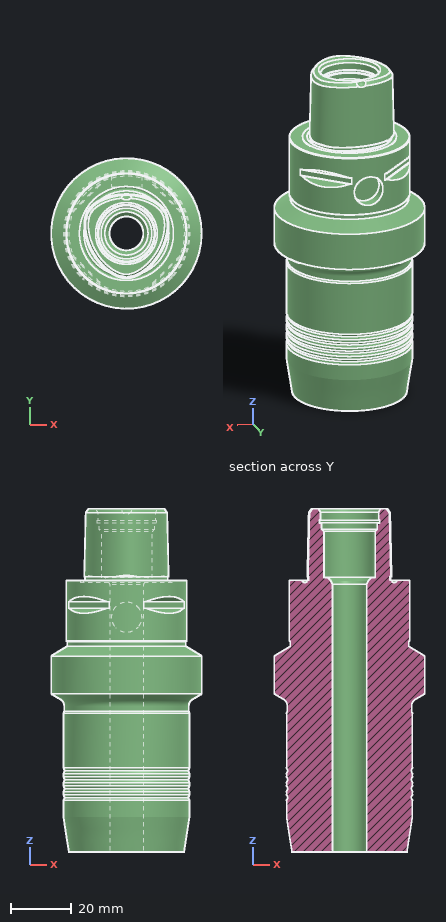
import cadquery as cq
import math

TOTAL_HEIGHT = 114.0
NOSE_TOP_Z = 11.7
BODY_TOP_Z = 46.0
BODY_CHAMFER_TOP_Z = 46.7
UNDERCUT_TOP_Z = 48.6
FLANGE_BOTTOM_Z = 52.3
FLANGE_TOP_Z = 65.3
NECK_BOTTOM_Z = 68.4
COLLAR_BOTTOM_Z = 69.9
COLLAR_TOP_Z = 90.3
SHANK_NECK_TOP_Z = 91.4
SHANK_TAPER_BOTTOM_Z = 92.7

NOSE_TIP_RADIUS = 19.2
BODY_RADIUS = 21.0
UNDERCUT_RADIUS = 20.7
FLANGE_RADIUS = 50.0 / 2
NECK_RADIUS = 19.7
COLLAR_RADIUS = 20.1
EDGE_BREAK = 0.2
FLANGE_CONE_ANGLE = math.radians(30)

GROOVE_COUNT = 4
GROOVE_PITCH = 3.0
GROOVE_WIDTH = 1.9
GROOVE_DEPTH = 0.4
TOP_GROOVE_Z = 27.0

CHANNEL_OUTER_RADIUS = 15.6
CHANNEL_INNER_RADIUS = 14.1

SHANK_BOTTOM_RADIUS = 14.0
SHANK_TOP_RADIUS = 13.6
LOBE_HEIGHT = 0.9
LOBE_ANGLE = -90.0
SHANK_CHAMFER_WIDTH = 0.9
SHANK_CHAMFER_HEIGHT = 1.4
SHANK_NECK_RELIEF = 0.2
NECK_TURNED_RADIUS = 14.0
LOBE_BEVEL_RADIUS = 14.5
OUTLINE_POINTS = 48
SHANK_ROOT_OVERLAP = 1.1

DIMPLE_RADIUS = 2.5
DIMPLE_Y = 13.6
DIMPLE_HEIGHT_ABOVE_TOP = 0.7

SLOT_COUNT = 4
SLOT_FIRST_ANGLE = 45.0
SLOT_CENTER_Z = 82.1
SLOT_FLOOR_DISTANCE = 17.7
SLOT_WALL_HEIGHT = 0.3
SLOT_FLOOR_HEIGHT = 2.2
SLOT_MOUTH_HEIGHT = 5.6

POCKET_RADIUS = 5.0
POCKET_DEPTH = 4.6
POCKET_Z = 78.1

BORE_CHAMFER_RADIUS = 10.3
BORE_MOUTH_RADIUS = 9.6
BORE_UNDERCUT_RADIUS = 9.9
BORE_STEP_RADIUS = 9.2
BORE_UPPER_RADIUS = 8.4
BORE_LEDGE_RADIUS = 7.2
BORE_CONE_RADIUS = 6.2
BORE_RADIUS = 5.6
BORE_CHAMFER_Z = 112.9
BORE_UNDERCUT_TOP_Z = 110.2
BORE_STEP_TOP_Z = 109.3
BORE_STEP_BOTTOM_Z = 107.3
BORE_UPPER_TOP_Z = 106.5
BORE_LEDGE_Z = 91.2
BORE_CONE_HEIGHT = 1.1


def turned_body():
    """Solid of revolution from the nose up to the collar face."""
    flange_break_radius = FLANGE_RADIUS - EDGE_BREAK
    slope = math.tan(FLANGE_CONE_ANGLE)
    cone_run = flange_break_radius - UNDERCUT_RADIUS
    drop_beyond_cone = FLANGE_BOTTOM_Z - UNDERCUT_TOP_Z - cone_run * slope
    fillet_radius = drop_beyond_cone / (1 / math.cos(FLANGE_CONE_ANGLE) - slope)

    def fillet_point(angle):
        return (
            UNDERCUT_RADIUS + fillet_radius * (1 - math.cos(angle)),
            UNDERCUT_TOP_Z + fillet_radius * math.sin(angle),
        )

    fillet_sweep = math.pi / 2 - FLANGE_CONE_ANGLE
    return (
        cq.Workplane("XZ")
        .moveTo(0, 0)
        .lineTo(NOSE_TIP_RADIUS, 0)
        .lineTo(BODY_RADIUS, NOSE_TOP_Z)
        .lineTo(BODY_RADIUS, BODY_TOP_Z)
        .lineTo(UNDERCUT_RADIUS, BODY_CHAMFER_TOP_Z)
        .lineTo(UNDERCUT_RADIUS, UNDERCUT_TOP_Z)
        .threePointArc(fillet_point(fillet_sweep / 2), fillet_point(fillet_sweep))
        .lineTo(flange_break_radius, FLANGE_BOTTOM_Z)
        .lineTo(FLANGE_RADIUS, FLANGE_BOTTOM_Z + EDGE_BREAK)
        .lineTo(FLANGE_RADIUS, FLANGE_TOP_Z - EDGE_BREAK)
        .lineTo(flange_break_radius, FLANGE_TOP_Z)
        .lineTo(NECK_RADIUS, NECK_BOTTOM_Z)
        .lineTo(NECK_RADIUS, COLLAR_BOTTOM_Z)
        .lineTo(COLLAR_RADIUS, COLLAR_BOTTOM_Z + EDGE_BREAK)
        .lineTo(COLLAR_RADIUS, COLLAR_TOP_Z - EDGE_BREAK)
        .lineTo(COLLAR_RADIUS - EDGE_BREAK, COLLAR_TOP_Z)
        .lineTo(0, COLLAR_TOP_Z)
        .close()
        .revolve(360, (0, 0, 0), (0, 1, 0))
    )


def grip_groove(center_z):
    """Ring whose inner side is a shallow V."""
    half_width = GROOVE_WIDTH / 2
    return (
        cq.Workplane("XZ")
        .moveTo(BODY_RADIUS, center_z - half_width)
        .lineTo(BODY_RADIUS - GROOVE_DEPTH, center_z)
        .lineTo(BODY_RADIUS, center_z + half_width)
        .lineTo(FLANGE_RADIUS, center_z + half_width)
        .lineTo(FLANGE_RADIUS, center_z - half_width)
        .close()
        .revolve(360, (0, 0, 0), (0, 1, 0))
    )


def face_channel():
    """Half-round ring channel sunk into the collar face."""
    middle_radius = (CHANNEL_OUTER_RADIUS + CHANNEL_INNER_RADIUS) / 2
    section_radius = (CHANNEL_OUTER_RADIUS - CHANNEL_INNER_RADIUS) / 2
    return cq.Workplane(cq.Solid.makeTorus(middle_radius, section_radius, cq.Vector(0, 0, COLLAR_TOP_Z)))


def lobed_outline(workplane, mean_radius):
    """Closed three-lobed curve of constant width 2 * mean_radius."""
    def point(step):
        angle = 2 * math.pi * step / OUTLINE_POINTS
        lobe_phase = 3 * (angle - math.radians(LOBE_ANGLE))
        reach = mean_radius + LOBE_HEIGHT * math.cos(lobe_phase)
        slope = -3 * LOBE_HEIGHT * math.sin(lobe_phase)
        return (
            reach * math.cos(angle) - slope * math.sin(angle),
            reach * math.sin(angle) + slope * math.cos(angle),
        )

    points = [point(step) for step in range(OUTLINE_POINTS)]
    return workplane.spline(points, periodic=True).close()


def lobed_loft(bottom_z, bottom_radius, top_z, top_radius):
    lower = lobed_outline(cq.Workplane("XY").workplane(offset=bottom_z), bottom_radius)
    return lobed_outline(lower.workplane(offset=top_z - bottom_z), top_radius).loft(ruled=True)


def lobed_prism(bottom_z, top_z, mean_radius):
    outline = lobed_outline(cq.Workplane("XY").workplane(offset=bottom_z), mean_radius)
    return outline.extrude(top_z - bottom_z)


def shank():
    """Tapered three-lobed shank with a chamfered top and a relieved root."""
    chamfer_z = TOTAL_HEIGHT - SHANK_CHAMFER_HEIGHT
    taper = lobed_loft(SHANK_TAPER_BOTTOM_Z, SHANK_BOTTOM_RADIUS, chamfer_z, SHANK_TOP_RADIUS)
    chamfer = lobed_loft(chamfer_z, SHANK_TOP_RADIUS, TOTAL_HEIGHT, SHANK_TOP_RADIUS - SHANK_CHAMFER_WIDTH)

    root_bottom_z = COLLAR_TOP_Z - SHANK_ROOT_OVERLAP
    band = lobed_prism(SHANK_NECK_TOP_Z, SHANK_TAPER_BOTTOM_Z, SHANK_BOTTOM_RADIUS)
    neck = lobed_prism(root_bottom_z, SHANK_NECK_TOP_Z, SHANK_BOTTOM_RADIUS - SHANK_NECK_RELIEF)
    band_height = SHANK_TAPER_BOTTOM_Z - SHANK_NECK_TOP_Z
    bevel = cq.Workplane(cq.Solid.makeCone(
        LOBE_BEVEL_RADIUS, LOBE_BEVEL_RADIUS + band_height, band_height, cq.Vector(0, 0, SHANK_NECK_TOP_Z)
    ))
    turned = cq.Workplane("XY").workplane(offset=root_bottom_z)
    turned = turned.circle(NECK_TURNED_RADIUS).extrude(SHANK_NECK_TOP_Z - root_bottom_z)
    return taper.union(chamfer).union(band.intersect(bevel)).union(neck.intersect(turned))


def top_dimple():
    center = (0, DIMPLE_Y, TOTAL_HEIGHT + DIMPLE_HEIGHT_ABOVE_TOP)
    return cq.Workplane("XY").sphere(DIMPLE_RADIUS).translate(center)


def gripper_slot(angle):
    """Straight slot across the collar with a flat floor, low walls and flared sides."""
    floor = SLOT_FLOOR_HEIGHT / 2
    mouth = SLOT_MOUTH_HEIGHT / 2
    flare_start = SLOT_FLOOR_DISTANCE + SLOT_WALL_HEIGHT
    section = [
        (SLOT_FLOOR_DISTANCE, SLOT_CENTER_Z - floor),
        (flare_start, SLOT_CENTER_Z - floor),
        (COLLAR_RADIUS, SLOT_CENTER_Z - mouth),
        (COLLAR_RADIUS, SLOT_CENTER_Z + mouth),
        (flare_start, SLOT_CENTER_Z + floor),
        (SLOT_FLOOR_DISTANCE, SLOT_CENTER_Z + floor),
    ]
    slot = cq.Workplane("XZ").polyline(section).close().extrude(COLLAR_RADIUS, both=True)
    return slot.rotate((0, 0, 0), (0, 0, 1), angle)


def side_pocket():
    return (
        cq.Workplane("XZ", origin=(0, COLLAR_RADIUS, POCKET_Z))
        .circle(POCKET_RADIUS)
        .extrude(POCKET_DEPTH)
    )


def central_bore():
    """Stepped bore that runs through the whole part."""
    section = [
        (0, 0),
        (BORE_RADIUS, 0),
        (BORE_RADIUS, BORE_LEDGE_Z - 2 * BORE_CONE_HEIGHT),
        (BORE_CONE_RADIUS, BORE_LEDGE_Z - BORE_CONE_HEIGHT),
        (BORE_LEDGE_RADIUS, BORE_LEDGE_Z),
        (BORE_UPPER_RADIUS, BORE_LEDGE_Z),
        (BORE_UPPER_RADIUS, BORE_UPPER_TOP_Z),
        (BORE_STEP_RADIUS, BORE_STEP_BOTTOM_Z),
        (BORE_STEP_RADIUS, BORE_STEP_TOP_Z),
        (BORE_UNDERCUT_RADIUS, BORE_STEP_TOP_Z),
        (BORE_UNDERCUT_RADIUS, BORE_UNDERCUT_TOP_Z),
        (BORE_MOUTH_RADIUS, BORE_UNDERCUT_TOP_Z),
        (BORE_MOUTH_RADIUS, BORE_CHAMFER_Z),
        (BORE_CHAMFER_RADIUS, TOTAL_HEIGHT),
        (0, TOTAL_HEIGHT),
    ]
    return cq.Workplane("XZ").polyline(section).close().revolve(360, (0, 0, 0), (0, 1, 0))


body = turned_body().cut(face_channel())
for index in range(GROOVE_COUNT):
    body = body.cut(grip_groove(TOP_GROOVE_Z - index * GROOVE_PITCH))
for index in range(SLOT_COUNT):
    body = body.cut(gripper_slot(SLOT_FIRST_ANGLE + index * 360 / SLOT_COUNT))
body = body.cut(side_pocket())

result = body.union(shank()).cut(top_dimple()).cut(central_bore())